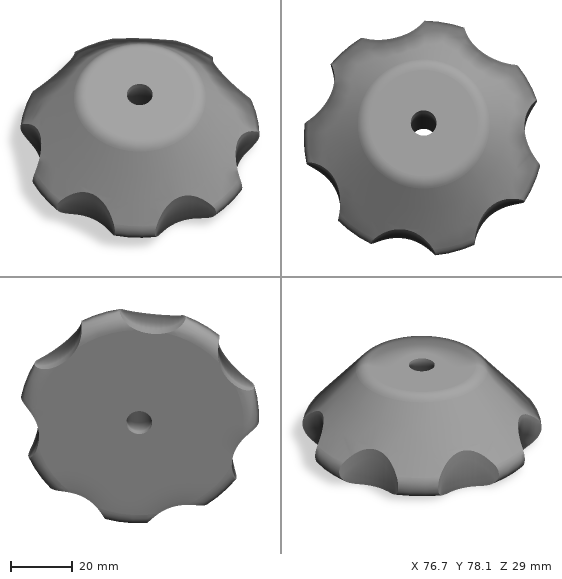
import cadquery as cq
import math

rim_radius = 39.1
height = 29.0
edge_round = 5.0
top_flat_radius = 17.7
bore_diameter = 8.4
scallop_count = 7
scallop_depth_radius = 32.9
scallop_radius = 15.0

rim_round_r = rim_radius - edge_round
top_round_z = height - edge_round
cone_normal = math.atan2(rim_round_r - top_flat_radius, top_round_z - edge_round)


def on_round(center_r, center_z, angle):
    """Point on a rounding arc at an angle above the horizontal."""
    return (
        center_r + edge_round * math.cos(angle),
        center_z + edge_round * math.sin(angle),
    )


def knob_body():
    """Revolved cone with a rounded rim and a rounded top edge."""
    top_mid_angle = (cone_normal + math.pi / 2) / 2
    profile = (
        cq.Workplane("XZ")
        .lineTo(rim_round_r, 0)
        .threePointArc(
            (rim_radius, edge_round),
            on_round(rim_round_r, edge_round, cone_normal),
        )
        .lineTo(*on_round(top_flat_radius, top_round_z, cone_normal))
        .threePointArc(
            on_round(top_flat_radius, top_round_z, top_mid_angle),
            (top_flat_radius, height),
        )
        .lineTo(0, height)
        .close()
    )
    return profile.revolve(360, (0, 0, 0), (0, 1, 0))


def finger_scallops():
    """Vertical cylinders evenly spaced around the rim, the first on +X."""
    return (
        cq.Workplane("XY")
        .polarArray(scallop_depth_radius + scallop_radius, 0, 360, scallop_count)
        .circle(scallop_radius)
        .extrude(height)
    )


def bore():
    """Through hole on the knob axis."""
    return cq.Workplane("XY").circle(bore_diameter / 2).extrude(height)


result = knob_body().cut(finger_scallops()).cut(bore())